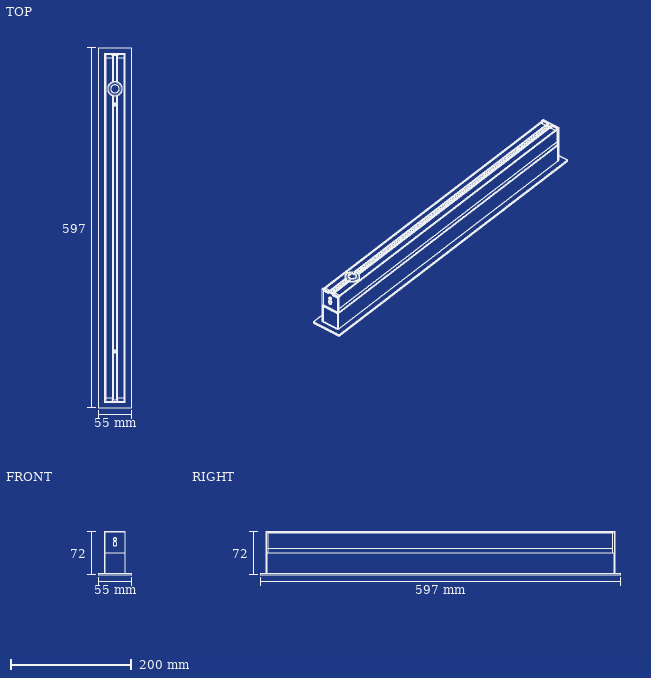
import cadquery as cq

LENGTH = 597.0
FLANGE_WIDTH = 55.0
TOTAL_HEIGHT = 72.0
FLANGE_THICKNESS = 3.0

COLUMN_WIDTH = 34.0
COLUMN_LENGTH = 578.0
NECK_TOP = 36.5
WALL = 2.0
INNER_WIDTH = COLUMN_WIDTH - 2 * WALL
NECK_LENGTH = COLUMN_LENGTH - 2 * WALL

SIDE_WALL_DROP = 1.5
CHANNEL_DEPTH = 2.1
SLOT_WIDTH = 5.5
SLOT_DEPTH = 3.5
RAIL_WIDTH = SLOT_WIDTH + 2 * WALL
SIDE_WALL_TOP = TOTAL_HEIGHT - SIDE_WALL_DROP
CHANNEL_FLOOR = TOTAL_HEIGHT - CHANNEL_DEPTH
SLOT_FLOOR = TOTAL_HEIGHT - SLOT_DEPTH
CHANNEL_WIDTH = (INNER_WIDTH - RAIL_WIDTH) / 2
CHANNEL_X = (RAIL_WIDTH + CHANNEL_WIDTH) / 2

CHAMBER_WALL = 0.9
CHAMBER_TOP = 44.0

CAP_DEPTH = 3.5
TAB_THICKNESS = 2.5
TAB_REACH = 3.5
HOUSING_LENGTH = COLUMN_LENGTH - 2 * CAP_DEPTH
TAB_BOTTOM = CHANNEL_FLOOR - TAB_THICKNESS
ROUND_HOLE_DIAMETER = 5.0
ROUND_HOLE_Z = 59.5
OBLONG_HOLE_WIDTH = 5.0
OBLONG_HOLE_HEIGHT = 8.0
OBLONG_HOLE_Z = 52.0

GLAND_Y = 230.5
GLAND_DIAMETER = 24.0
GLAND_TOP_DIAMETER = 20.0
GLAND_PLUG_DIAMETER = 14.0
GLAND_PLUG_DROP = 2.0
GLAND_ROUNDING = (GLAND_DIAMETER - GLAND_TOP_DIAMETER) / 2

SCREW_Y = 205.0
SCREW_DIAMETER = 5.0
SCREW_HEIGHT = 2.5
SOCKET_DIAMETER = 2.5
SOCKET_DEPTH = 1.0


def block(width, length, bottom, top, x=0.0, y=0.0):
    """Box centred on (x, y), reaching from bottom to top in Z."""
    base = cq.Workplane("XY", origin=(x, y, bottom))
    return base.rect(width, length).extrude(top - bottom)


def disc(diameter, bottom, top, y):
    """Upright cylinder on the centre line of the part."""
    base = cq.Workplane("XY", origin=(0, y, bottom))
    return base.circle(diameter / 2).extrude(top - bottom)


def make_frame():
    """Flange with the two long neck walls and an opening right through."""
    flange = block(FLANGE_WIDTH, LENGTH, 0, FLANGE_THICKNESS)
    neck = block(COLUMN_WIDTH, NECK_LENGTH, FLANGE_THICKNESS, NECK_TOP)
    return flange.union(neck).cut(block(INNER_WIDTH, NECK_LENGTH, 0, NECK_TOP))


def make_neck_end(sign):
    """Plate that closes one end of the neck."""
    y = sign * (COLUMN_LENGTH - WALL) / 2
    return block(COLUMN_WIDTH, WALL, FLANGE_THICKNESS, NECK_TOP, y=y)


def tab(side, sign):
    """Cap tab in the channel on one side of the rail, from the cap's plate into the housing."""
    length = CAP_DEPTH - WALL + TAB_REACH
    y = sign * (COLUMN_LENGTH / 2 - WALL - length / 2)
    return block(CHANNEL_WIDTH, length, TAB_BOTTOM, CHANNEL_FLOOR, side * CHANNEL_X, y)


def make_housing():
    """Extruded upper body with channels, slot, chamber, gland recess and tab notches."""
    housing = block(COLUMN_WIDTH, HOUSING_LENGTH, NECK_TOP, SIDE_WALL_TOP)
    housing = housing.union(block(RAIL_WIDTH, HOUSING_LENGTH, SIDE_WALL_TOP, TOTAL_HEIGHT))
    housing = housing.cut(block(SLOT_WIDTH, HOUSING_LENGTH, SLOT_FLOOR, TOTAL_HEIGHT))
    chamber_width = COLUMN_WIDTH - 2 * CHAMBER_WALL
    housing = housing.cut(block(chamber_width, HOUSING_LENGTH, NECK_TOP, CHAMBER_TOP))
    for side in (-1, 1):
        channel = block(CHANNEL_WIDTH, HOUSING_LENGTH, CHANNEL_FLOOR, TOTAL_HEIGHT, side * CHANNEL_X)
        housing = housing.cut(channel)
        for sign in (-1, 1):
            housing = housing.cut(tab(side, sign))
    return housing.cut(disc(GLAND_DIAMETER, SLOT_FLOOR, TOTAL_HEIGHT, GLAND_Y))


def make_cap(sign):
    """End cap at the -Y (sign -1) or +Y (sign 1) end, open towards the housing and upwards."""
    outer_y = sign * COLUMN_LENGTH / 2
    cap = block(COLUMN_WIDTH, CAP_DEPTH, NECK_TOP, TOTAL_HEIGHT, y=outer_y - sign * CAP_DEPTH / 2)
    cavity_depth = CAP_DEPTH - WALL
    cavity_y = outer_y - sign * (WALL + cavity_depth / 2)
    cap = cap.cut(block(INNER_WIDTH, cavity_depth, NECK_TOP + WALL, TOTAL_HEIGHT, y=cavity_y))
    for side in (-1, 1):
        cap = cap.union(tab(side, sign))
    plate = cq.Workplane("XZ", origin=(0, outer_y, 0))
    holes = plate.center(0, ROUND_HOLE_Z).circle(ROUND_HOLE_DIAMETER / 2)
    holes = holes.center(0, OBLONG_HOLE_Z - ROUND_HOLE_Z)
    holes = holes.slot2D(OBLONG_HOLE_HEIGHT, OBLONG_HOLE_WIDTH, 90)
    cap = cap.cut(holes.extrude(WALL, both=True))
    return cap


def make_gland():
    """Ring with a rounded upper rim, seated in the housing's recess."""
    gland = disc(GLAND_DIAMETER, SLOT_FLOOR, TOTAL_HEIGHT, GLAND_Y)
    gland = gland.faces(">Z").edges().fillet(GLAND_ROUNDING)
    return gland.cut(disc(GLAND_PLUG_DIAMETER, SLOT_FLOOR, TOTAL_HEIGHT, GLAND_Y))


def make_gland_plug():
    """Disc that closes the gland's bore, set below the rim."""
    return disc(GLAND_PLUG_DIAMETER, SLOT_FLOOR, TOTAL_HEIGHT - GLAND_PLUG_DROP, GLAND_Y)


def make_screw(y):
    """Screw head with a socket, standing on the slot floor."""
    top = SLOT_FLOOR + SCREW_HEIGHT
    head = disc(SCREW_DIAMETER, SLOT_FLOOR, top, y)
    return head.cut(disc(SOCKET_DIAMETER, top - SOCKET_DEPTH, top, y))


frame = make_frame()
housing = make_housing()
gland = make_gland()
gland_plug = make_gland_plug()
neck_ends = [make_neck_end(sign).val() for sign in (-1, 1)]
caps = [make_cap(sign).val() for sign in (-1, 1)]
screws = [make_screw(sign * SCREW_Y).val() for sign in (-1, 1)]

result = cq.Compound.makeCompound(
    [frame.val(), *neck_ends, housing.val(), *caps, gland.val(), gland_plug.val(), *screws]
)